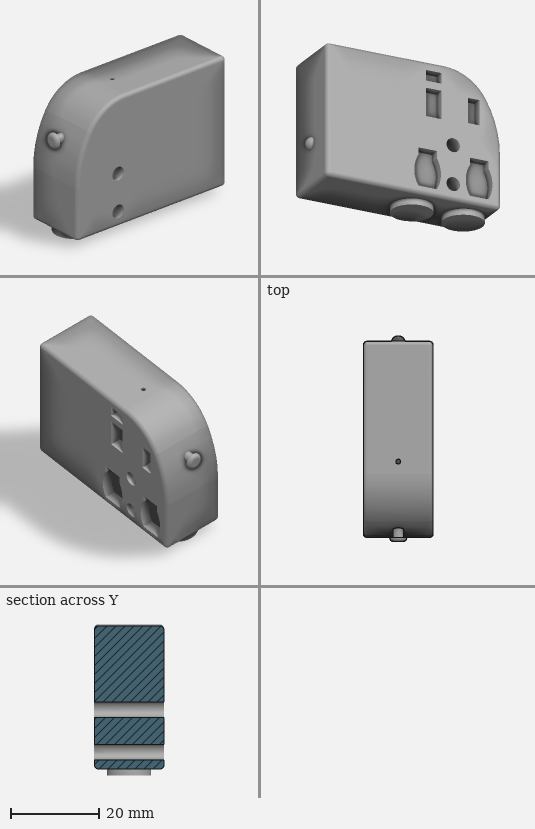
import cadquery as cq
import math


width = 15.85
depth = 44.55
height = 32.75
edge_radius = 1.0
left_face = -width / 2

top_arc_start = 14.45
top_arc_radius = 12.6
front_arc_end = 13.45

foot_positions = (5.7, 18.8)
foot_diameter = 9.9
foot_height = 1.5

pocket_depth = 2.5
window_center = 17.25
window_width = 3.95
upper_window_bottom = 28.0
upper_window_height = 2.6
lower_window_bottom = 19.25
lower_window_height = 6.95
front_window_center = 7.05
front_window_width = 2.85
front_window_bottom = 19.6
front_window_height = 6.2

barrel_bottom = 1.8
barrel_shoulder = 9.4
barrel_top = 11.2
neck_width = 4.7
bulge_width = 6.8

mount_hole_diameter = 3.4
mount_hole_y = 12.25
mount_hole_heights = (3.85, front_arc_end)

pin_hole_diameter = 1.05

knob_z = 22.75
stem_diameter = 2.42
head_diameter = 3.85
head_thickness = 1.0
head_rounding = 0.9
head_front = -0.9
stem_root = 4.65

dome_z = 10.6
dome_radius = 1.6
dome_height = 1.2


def make_housing():
    """Extrude the side profile across X and round its sharp edges."""
    top_center_z = height - top_arc_radius
    rise = top_center_z - front_arc_end
    front_arc_radius = (top_arc_start**2 + rise**2 - top_arc_radius**2) / (
        2 * (top_arc_start - top_arc_radius)
    )
    joint_angle = math.atan2(rise, front_arc_radius - top_arc_start)

    def on_top_arc(angle):
        return (
            top_arc_start - top_arc_radius * math.cos(angle),
            top_center_z + top_arc_radius * math.sin(angle),
        )

    def on_front_arc(angle):
        return (
            front_arc_radius * (1 - math.cos(angle)),
            front_arc_end + front_arc_radius * math.sin(angle),
        )

    return (
        cq.Workplane("YZ", origin=(left_face, 0, 0))
        .moveTo(0, 0)
        .lineTo(depth, 0)
        .lineTo(depth, height)
        .lineTo(top_arc_start, height)
        .threePointArc(on_top_arc((joint_angle + math.pi / 2) / 2), on_top_arc(joint_angle))
        .threePointArc(on_front_arc(joint_angle / 2), (0, front_arc_end))
        .close()
        .extrude(width)
        .edges("<X or >X or (|X and <Z) or (|X and >Y)")
        .fillet(edge_radius)
    )


def left_face_plane():
    """Sketch plane on the left face: local x is Y, local y is Z, extruding inward."""
    return cq.Workplane("YZ", origin=(left_face, 0, 0))


def make_window(center_y, bottom, window_size_y, window_size_z):
    return (
        left_face_plane()
        .center(center_y, bottom + window_size_z / 2)
        .rect(window_size_y, window_size_z)
        .extrude(pocket_depth)
    )


def make_barrel_pocket(center_y):
    """Pocket with bulging sides below a straight neck."""
    half_neck = neck_width / 2
    half_bulge = bulge_width / 2
    bulge_z = (barrel_bottom + barrel_shoulder) / 2
    return (
        left_face_plane()
        .center(center_y, 0)
        .moveTo(-half_neck, barrel_bottom)
        .lineTo(half_neck, barrel_bottom)
        .threePointArc((half_bulge, bulge_z), (half_neck, barrel_shoulder))
        .lineTo(half_neck, barrel_top)
        .lineTo(-half_neck, barrel_top)
        .lineTo(-half_neck, barrel_shoulder)
        .threePointArc((-half_bulge, bulge_z), (-half_neck, barrel_bottom))
        .close()
        .extrude(pocket_depth)
    )


def make_mount_holes():
    return (
        left_face_plane()
        .pushPoints([(mount_hole_y, z) for z in mount_hole_heights])
        .circle(mount_hole_diameter / 2)
        .extrude(width)
    )


def make_pin_hole():
    hole_bottom = upper_window_bottom + upper_window_height
    return (
        cq.Workplane("XY", origin=(0, window_center, hole_bottom))
        .circle(pin_hole_diameter / 2)
        .extrude(height - hole_bottom)
    )


def make_feet():
    """Round feet below the housing."""
    return (
        cq.Workplane("XY", origin=(0, 0, -foot_height))
        .pushPoints([(0, y) for y in foot_positions])
        .circle(foot_diameter / 2)
        .extrude(foot_height + edge_radius)
    )


def make_knob():
    """Stem buried in the nose, carrying a round-fronted head."""
    head = (
        cq.Workplane("XZ", origin=(0, head_front + head_thickness, knob_z))
        .circle(head_diameter / 2)
        .extrude(head_thickness)
        .faces("<Y")
        .edges()
        .fillet(head_rounding)
    )
    stem = (
        cq.Workplane("XZ", origin=(0, stem_root, knob_z))
        .circle(stem_diameter / 2)
        .extrude(stem_root - head_front - head_thickness / 2)
    )
    return head.union(stem)


def make_dome():
    """Ball sunk into the back wall so that only its cap stands out."""
    ball_y = depth + dome_height - dome_radius
    return cq.Workplane("XY", origin=(0, ball_y, dome_z)).sphere(dome_radius)


result = make_housing().union(make_feet()).union(make_knob()).union(make_dome())

result = (
    result.cut(make_window(window_center, upper_window_bottom, window_width, upper_window_height))
    .cut(make_window(window_center, lower_window_bottom, window_width, lower_window_height))
    .cut(make_window(front_window_center, front_window_bottom, front_window_width, front_window_height))
)

for foot_y in foot_positions:
    result = result.cut(make_barrel_pocket(foot_y))

result = result.cut(make_mount_holes()).cut(make_pin_hole())